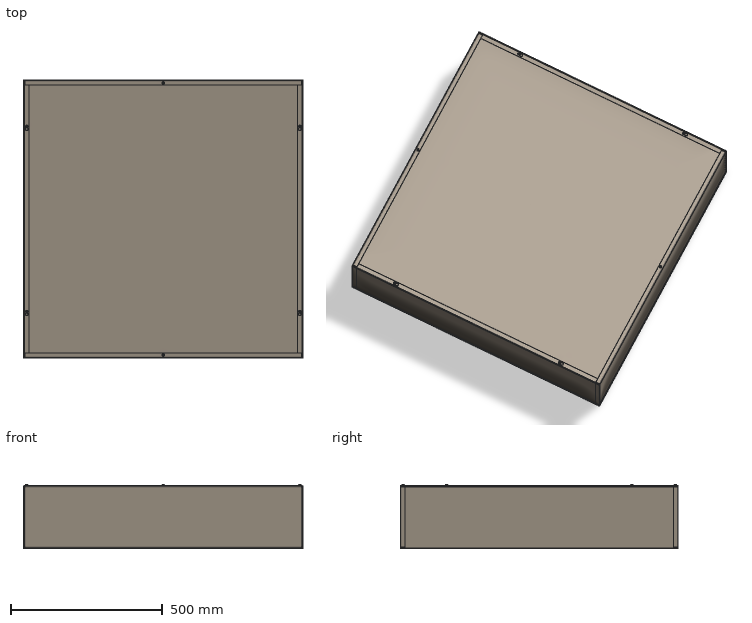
import cadquery as cq

sheet = 2.3
bend_radius = 3.0
inner_bend_radius = bend_radius - sheet
flange = 16.0

length_x = 919.0
width_y = 915.0
panel_length = length_x - 2 * sheet
panel_height = 203.0
rim_z = sheet + panel_height
lid_length = panel_length
lid_top = rim_z + sheet

side_screw_inset = 10.0
end_screw_inset = 9.0
side_screw_y = width_y / 3
side_screw_x = length_x / 2 - side_screw_inset
end_screw_y = width_y / 2 - end_screw_inset
side_screws = [(x, y) for x in (-side_screw_x, side_screw_x) for y in (-side_screw_y, side_screw_y)]
end_screws = [(0, -end_screw_y), (0, end_screw_y)]
screw_places = side_screws + end_screws

shank_diameter = 4.3
head_diameter = 7.9
head_height = 4.0
head_rounding = 3.0
lid_hole_diameter = 4.9
keyhole_diameter = 8.7
keyhole_offset = 8.7


def block(size_x, size_y, size_z, center_x, center_y, bottom_z):
    """Box centred on (center_x, center_y) that stands on bottom_z."""
    box = cq.Workplane("XY").box(size_x, size_y, size_z, centered=(True, True, False))
    return box.translate((center_x, center_y, bottom_z))


def cylinders(places, diameter, bottom_z, height):
    """Upright cylinders at the given places."""
    base = cq.Workplane("XY").workplane(offset=bottom_z)
    return base.pushPoints(places).circle(diameter / 2).extrude(height)


def make_shell():
    """Floor and two end walls, each wall with a rim flange turned inwards between the panels."""
    rim_width = width_y - 2 * flange
    rim_depth = sheet + flange
    shell = block(length_x, width_y, sheet, 0, 0, 0)
    for side in (-1, 1):
        wall_x = side * (length_x - sheet) / 2
        rim_x = side * (length_x - rim_depth) / 2
        shell = shell.union(block(sheet, width_y, rim_z, wall_x, 0, 0))
        shell = shell.union(block(rim_depth, rim_width, sheet, rim_x, 0, rim_z - sheet))
    return shell.cut(cylinders(side_screws, shank_diameter, rim_z - sheet, sheet))


def make_corner_reliefs(outer_y):
    """Square notches that separate the flanges where two of them meet at a panel corner."""
    depth = flange - bend_radius
    center_y = outer_y + flange - depth / 2
    center_x = (panel_length - bend_radius) / 2
    reliefs = cq.Workplane("XY")
    for x in (-center_x, center_x):
        for bottom_z in (sheet, rim_z - bend_radius):
            reliefs = reliefs.add(block(bend_radius, depth, bend_radius, x, center_y, bottom_z))
    return reliefs.combine()


def make_panel(turn):
    """Panel on the -Y side with a flange bent back along each edge, turned about Z by `turn` degrees."""
    outer_y = -width_y / 2
    outside = block(panel_length, flange, panel_height, 0, outer_y + flange / 2, sheet)
    outside = outside.faces("<Y").edges().fillet(bend_radius)
    inside_length = panel_length - 2 * sheet
    inside_height = panel_height - 2 * sheet
    inside = block(inside_length, flange, inside_height, 0, outer_y + sheet + flange / 2, 2 * sheet)
    inside = inside.faces("<Y").edges().fillet(inner_bend_radius)
    panel = outside.cut(inside).cut(make_corner_reliefs(outer_y))
    panel = panel.cut(cylinders([(0, -end_screw_y)], shank_diameter, rim_z - sheet, sheet))
    return panel.rotate((0, 0, 0), (0, 0, 1), turn)


def make_lid():
    """Flat lid with a keyhole at each side screw and a plain hole at each end screw."""
    lid = block(lid_length, width_y, sheet, 0, 0, rim_z)
    lid = lid.cut(cylinders(screw_places, lid_hole_diameter, rim_z, sheet))
    entries = [(x, y - keyhole_offset) for x, y in side_screws]
    lid = lid.cut(cylinders(entries, keyhole_diameter, rim_z, sheet))
    for x, y in side_screws:
        lid = lid.cut(block(lid_hole_diameter, keyhole_offset, sheet, x, y - keyhole_offset / 2, rim_z))
    return lid


def make_screw(place):
    """Round-headed screw whose shank reaches through the lid and the flange below it."""
    head = cylinders([place], head_diameter, lid_top, head_height)
    head = head.faces(">Z").edges().fillet(head_rounding)
    return head.union(cylinders([place], shank_diameter, rim_z - sheet, 2 * sheet))


shell = make_shell()
panels = [make_panel(turn) for turn in (0, 180)]
lid = make_lid()
screws = [make_screw(place) for place in screw_places]

bodies = [shell, *panels, lid, *screws]
result = cq.Compound.makeCompound([body.solids().val() for body in bodies])